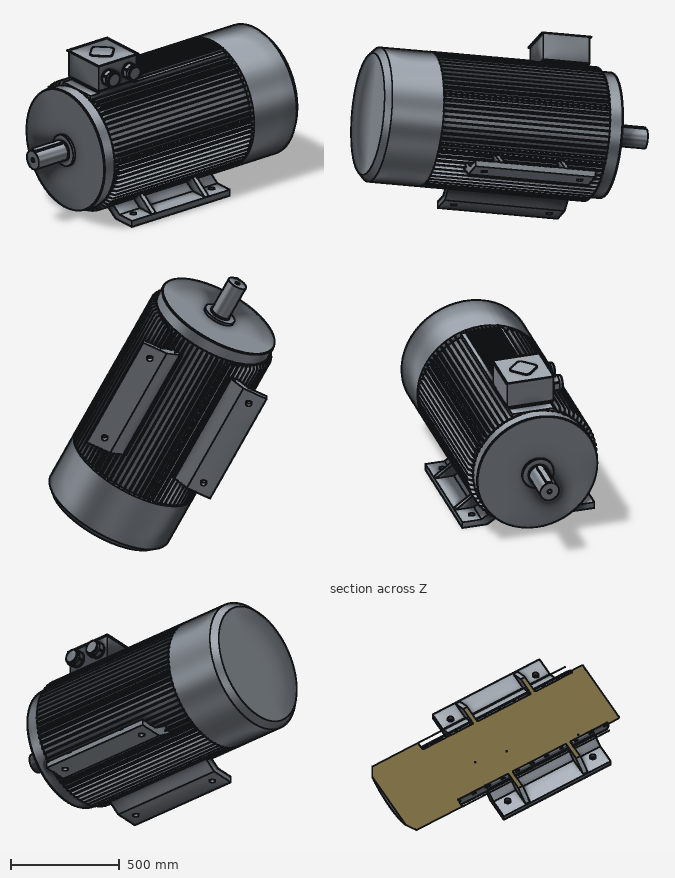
import cadquery as cq
import math


overall_length = 1325.0
shaft_length = 170.0
collar_front = 176.0
bell_front = 188.0
frame_front = 250.0
cowl_front = 1050.0

shaft_diameter = 90.0
shoulder_diameter = 95.0
collar_diameter = 150.0
center_hole_diameter = 17.0
center_hole_mouth = 21.0
center_hole_depth = 40.0
key_width = 29.0
key_length = 168.0
key_top = 52.0

bell_diameter = 580.0
bell_face_diameter = 575.0
bell_chamfer_length = 5.0
core_diameter = 570.0
cowl_diameter = 620.0
cowl_chamfer = 29.0

fin_thickness = 4.0
fin_pitch_angle = 5
fin_free_half_angle = 20
fin_bevel = 15.0

pad_width = 201.0
pad_top = 286.0
pad_front = 257.0
pad_fin_count = 9
pad_fin_span = 152.0
pad_fin_top = 302.0
pad_fin_front = 553.0
pad_fin_chamfer = 9.0

box_y = 408.0
box_width = 221.0
neck_width = pad_width
flare_bottom_width = 215.0
flare_bottom = 297.0
flare_top = 303.0
lid_width = 236.0
lid_crown_width = 220.0
lid_bottom = 429.0
lid_rim_top = 430.0
lid_top = 432.0
plate_y = 404.0
plate_width = 105.0
plate_corner_radius = 21.0
plate_top = 436.0
plate_chamfer = 3.0

gland_z = 363.0
gland_spacing = 120.0
gland_diameter = 70.0
hex_across_flats = 72.0
hex_turned_diameter = 80.0
hex_start = 118.0
hex_end = 146.0
gland_end = 163.0
gland_chamfer = 4.0

foot_bottom = -315.0
overall_width = 635.0
foot_thickness = 30.0
foot_inner_edge = 197.0
foot_bend = 225.0
foot_front = 329.0
foot_length = 572.0
web_slope = math.tan(math.radians(33.5))
web_run = 93.0
rib_slope = math.tan(math.radians(36))
rib_inset = 5.0
rib_thickness = 24.0
rib_spacing = 309.0
foot_hole_diameter = 28.0
foot_hole_x = 255.0
foot_hole_spacing = 456.0

core_radius = core_diameter / 2
cowl_radius = cowl_diameter / 2
pad_fin_pitch = pad_fin_span / (pad_fin_count - 1)
foot_half_width = overall_width / 2
joint_overlap = 7.0
fin_root_radius = core_radius - joint_overlap


def block(x_size, y_start, y_end, z_start, z_end):
    """Box centred on X that spans the given Y and Z ranges."""
    size = (x_size, y_end - y_start, z_end - z_start)
    return cq.Workplane().box(*size, centered=(True, False, False)).translate((0, y_start, z_start))


def frustum(bottom_width, z_start, top_width, z_end):
    """Square-based taper standing over the terminal box centre."""
    return (
        cq.Workplane(origin=(0, box_y, z_start))
        .rect(bottom_width, bottom_width)
        .workplane(offset=z_end - z_start)
        .rect(top_width, top_width)
        .loft(ruled=True)
    )


def turned_body():
    """Shaft, collar, end bell, frame core and cowl as one turned profile."""
    shaft_radius = shaft_diameter / 2
    shoulder_radius = shoulder_diameter / 2
    collar_radius = collar_diameter / 2
    bell_radius = bell_diameter / 2
    profile = [
        (0, 0),
        (shaft_radius, 0),
        (shaft_radius, shaft_length),
        (shoulder_radius, shaft_length),
        (shoulder_radius, collar_front),
        (collar_radius, collar_front),
        (collar_radius, bell_front),
        (bell_face_diameter / 2, bell_front),
        (bell_radius, bell_front + bell_chamfer_length),
        (bell_radius, frame_front),
        (core_radius, frame_front),
        (core_radius, cowl_front),
        (cowl_radius, cowl_front),
        (cowl_radius, overall_length - cowl_chamfer),
        (cowl_radius - cowl_chamfer, overall_length),
        (0, overall_length),
    ]
    return cq.Workplane("XY").polyline(profile).close().revolve(360, (0, 0, 0), (0, 1, 0))


def shaft_key():
    """Round-ended key standing proud of the shaft."""
    middle = cq.Workplane(origin=(0, key_length / 2, 0))
    return middle.slot2D(key_length, key_width, 90).extrude(key_top)


def center_hole():
    """Blind hole in the shaft tip with a 45 degree mouth and a conical bottom."""
    radius = center_hole_diameter / 2
    mouth_radius = center_hole_mouth / 2
    profile = [
        (0, 0),
        (mouth_radius, 0),
        (radius, mouth_radius - radius),
        (radius, center_hole_depth),
        (0, center_hole_depth + radius),
    ]
    return cq.Workplane("XY").polyline(profile).close().revolve(360, (0, 0, 0), (0, 1, 0))


def radial_fins():
    """Fins around the frame, each bevelled at its front end."""
    profile = [
        (frame_front, fin_root_radius),
        (frame_front, cowl_radius - fin_bevel),
        (frame_front + fin_bevel, cowl_radius),
        (cowl_front, cowl_radius),
        (cowl_front, fin_root_radius),
    ]
    fin = cq.Workplane("YZ").polyline(profile).close().extrude(fin_thickness / 2, both=True).val()
    first_angle = fin_free_half_angle + fin_pitch_angle
    last_angle = 360 - fin_free_half_angle
    axis_start = cq.Vector(0, 0, 0)
    axis_end = cq.Vector(0, 1, 0)
    return [
        fin.rotate(axis_start, axis_end, angle)
        for angle in range(first_angle, last_angle, fin_pitch_angle)
    ]


def pad_fins():
    """Parallel upright fins between the terminal box and the cowl."""
    fin = block(fin_thickness, pad_fin_front, cowl_front, pad_top - joint_overlap, pad_fin_top)
    fin = fin.edges("|X and <Y and >Z").chamfer(pad_fin_chamfer)
    middle = (pad_fin_count - 1) / 2
    return [
        fin.translate(((index - middle) * pad_fin_pitch, 0, 0)).val()
        for index in range(pad_fin_count)
    ]


def terminal_box():
    """Box on a square neck, closed by a thin lid with a diamond plate."""
    half_neck = neck_width / 2
    half_box = box_width / 2
    neck = block(neck_width, box_y - half_neck, box_y + half_neck, pad_top - joint_overlap, flare_bottom)
    flare = frustum(flare_bottom_width, flare_bottom, box_width, flare_top)
    walls = block(box_width, box_y - half_box, box_y + half_box, flare_top, lid_bottom)
    rim = frustum(lid_width, lid_bottom, lid_width, lid_rim_top)
    crown = frustum(lid_width, lid_rim_top, lid_crown_width, lid_top)
    plate = (
        cq.Workplane(origin=(0, plate_y, lid_top))
        .transformed(rotate=(0, 0, 45))
        .rect(plate_width, plate_width)
        .extrude(plate_top - lid_top)
        .edges("|Z")
        .fillet(plate_corner_radius)
        .faces(">Z")
        .chamfer(plate_chamfer)
    )
    return neck.union(flare).union(walls).union(rim).union(crown).union(plate)


def cable_gland(y):
    """Round stub with a hexagonal nut whose corners are turned down."""
    wall = box_width / 2
    stub = (
        cq.Workplane("YZ", origin=(wall, y, gland_z))
        .circle(gland_diameter / 2)
        .extrude(gland_end - wall)
        .faces(">X")
        .chamfer(gland_chamfer)
    )
    nut_plane = cq.Workplane("YZ", origin=(hex_start, y, gland_z))
    nut_length = hex_end - hex_start
    across_corners = hex_across_flats / math.cos(math.radians(30))
    hexagon = nut_plane.transformed(rotate=(0, 0, 90)).polygon(6, across_corners).extrude(nut_length)
    nut = hexagon.intersect(nut_plane.circle(hex_turned_diameter / 2).extrude(nut_length))
    return stub.union(nut)


def foot():
    """Foot on the -X side: bent plate, two ribs and two bolt holes."""
    foot_top = foot_bottom + foot_thickness
    web_rise = web_run * web_slope
    foot_y = foot_front + foot_length / 2
    back_plane = cq.Workplane("XZ", origin=(0, foot_front + foot_length, 0))
    plate_profile = [
        (-foot_half_width, foot_bottom),
        (-foot_half_width, foot_top),
        (-foot_bend, foot_top),
        (-foot_bend + web_run, foot_top + web_rise),
        (-foot_inner_edge + web_run, foot_bottom + web_rise),
        (-foot_inner_edge, foot_bottom),
    ]
    bracket = back_plane.polyline(plate_profile).close().extrude(foot_length)

    rib_start = -foot_half_width + rib_inset
    rib_run = -foot_bend + web_run - rib_start
    rib_profile = [
        (rib_start, foot_top),
        (rib_start + rib_run, foot_top + rib_run * rib_slope),
        (-foot_bend + web_run, foot_top + web_rise),
        (-foot_bend, foot_top),
    ]
    for side in (-1, 1):
        rib_plane = cq.Workplane("XZ", origin=(0, foot_y + side * rib_spacing / 2, 0))
        rib = rib_plane.polyline(rib_profile).close().extrude(rib_thickness / 2, both=True)
        bracket = bracket.union(rib)

    holes = (
        cq.Workplane(origin=(-foot_hole_x, foot_y, foot_bottom))
        .rarray(13, foot_hole_spacing, 1, 2)
        .circle(foot_hole_diameter / 2)
        .extrude(foot_thickness)
    )
    return bracket.cut(holes)


left_foot = foot()
parts = [
    block(pad_width, pad_front, cowl_front, 0, pad_top),
    shaft_key(),
    terminal_box(),
    cable_gland(box_y - gland_spacing / 2),
    cable_gland(box_y + gland_spacing / 2),
    left_foot,
    left_foot.mirror("YZ"),
]
solids = [part.val() for part in parts] + pad_fins() + radial_fins()
motor = turned_body().val().fuse(*solids)
result = cq.Workplane(motor).cut(center_hole())